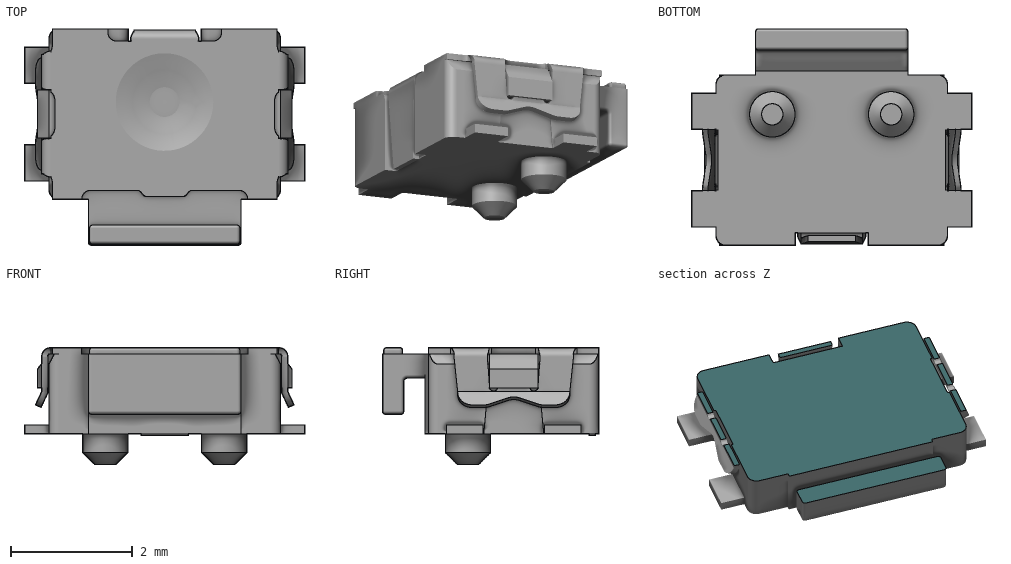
import cadquery as cq
import math

overall_length = 4.6
cover_top = 1.415
sheet = 0.1
body_top = cover_top - sheet

body_half_x = 1.9
body_half_y = 1.4
body_corner_radius = 0.16
body_chamfer_x = 0.09
body_chamfer_z = 0.17
step_front_y = -1.46
rear_recess_half_x = 0.6
rear_recess_radius = 0.145
side_recess_depth = 0.03
side_recess_half_bottom = 0.49
side_recess_half_top = 0.425

wedge_half_y = 0.395
wedge_tip_x = 2.09
wedge_bottom = 0.755
wedge_shoulder = 1.063

terminal_height = 0.145
terminal_inner_y = 0.5
terminal_width = 0.6
pin_x = 0.975
pin_y = -0.75
pin_radius = 0.373
pin_tip_radius = 0.175
pin_shank = 0.305
pin_length = 0.5

tongue_half_x = 1.25
tongue_front_y = -2.155
tongue_underside = 0.915
lip_back_y = -1.805
lip_bottom = 0.32
lip_inner_radius = 0.06
tongue_edge_radius = 0.05
rib_inset = 0.02

cover_half_x = 1.845
cover_half_y = body_half_y
dish_radius = 0.8
dish_floor_radius = 0.245
dish_depth = 0.095
dish_y = 0.195
front_notch_half_x = 1.36
front_notch_corner = 0.14
front_notch_radius = 0.145
front_notch_y = -1.25
front_tooth_y = -1.352
tooth_root_half_x = 0.455
tooth_tip_half_x = 0.295
rear_notch_half_x = 0.935
rear_notch_y = 1.195
rear_notch_radius = 0.145
side_notch_x = 1.805
side_notch_half_y = 0.4
side_notch_radius = 0.175

flap_outer_x = 2.02
flap_inner_x = flap_outer_x - sheet
bend_radius = 0.15
flap_bend_x = flap_outer_x - bend_radius
flap_half_root = 1.035
flap_half_bend = 0.98
flap_half_bottom = 0.92
flap_curve_start = 1.125
flap_curve_radius = 0.185
flap_bend_z = 0.695
window_half_bend = 0.432
window_relief_radius = 0.07
window_relief_z = 0.775
foot_angle = math.radians(25)
foot_length = 0.24
foot_wave_peak = 0.095
foot_corner_radius = 0.23
foot_slope = math.radians(20)
foot_valley_radius = 0.185
foot_peak_radius = 0.275

tab_outer_y = 1.38
tab_root_half = 0.56
tab_bend_half = 0.505
tab_end_half = 0.385
tab_end_z = -0.028
tab_lean = 0.04


def block(x0, x1, y0, y1, z0, z1):
    return cq.Workplane("XY").box(x1 - x0, y1 - y0, z1 - z0, centered=False).translate((x0, y0, z0))


def both_sides(shape):
    """The shape together with its mirror image across X = 0."""
    return shape.union(shape.mirror("YZ"))


def along_y(points, half_width):
    """Prism of an XZ outline, centred on Y = 0."""
    return cq.Workplane("XZ").polyline(points).close().extrude(half_width, both=True)


def make_body():
    body = block(-body_half_x, body_half_x, -body_half_y, body_half_y, 0, body_top)
    body = body.edges("|Z").fillet(body_corner_radius)

    edge_cut = along_y(
        [
            (-body_half_x, body_top),
            (-body_half_x + body_chamfer_x, body_top),
            (-body_half_x, body_top - body_chamfer_z),
        ],
        body_half_y,
    )
    side_recess = (
        cq.Workplane("YZ", origin=(-body_half_x, 0, 0))
        .moveTo(-side_recess_half_bottom, 0)
        .lineTo(side_recess_half_bottom, 0)
        .lineTo(side_recess_half_top, wedge_bottom)
        .lineTo(-side_recess_half_top, wedge_bottom)
        .close()
        .extrude(side_recess_depth)
    )
    body = body.cut(both_sides(edge_cut)).cut(both_sides(side_recess))

    rear_recess = block(
        -rear_recess_half_x, rear_recess_half_x, rear_notch_y, body_half_y, 0, body_top
    )
    body = body.cut(rear_recess)
    for side in (-1, 1):
        end_edge = cq.selectors.NearestToPointSelector(
            (side * rear_recess_half_x, (rear_notch_y + body_half_y) / 2, body_top)
        )
        body = body.edges(end_edge).fillet(rear_recess_radius)

    step = block(-tongue_half_x, tongue_half_x, step_front_y, 0, 0, body_top)
    return body.union(step)


def make_wedge():
    root_x = body_half_x - body_chamfer_x
    return along_y(
        [
            (-root_x, wedge_bottom),
            (-root_x, body_top),
            (-body_half_x, body_top),
            (-wedge_tip_x, wedge_shoulder),
            (-wedge_tip_x, wedge_bottom),
        ],
        wedge_half_y,
    )


def make_terminals():
    half = overall_length / 2
    outer_y = terminal_inner_y + terminal_width
    bar = block(-half, half, terminal_inner_y, outer_y, 0, terminal_height)
    return bar.union(bar.mirror("XZ"))


def make_pin():
    return (
        cq.Workplane("XZ")
        .polyline(
            [
                (0, 0),
                (pin_radius, 0),
                (pin_radius, -pin_shank),
                (pin_tip_radius, -pin_length),
                (0, -pin_length),
            ]
        )
        .close()
        .revolve(360, (0, 0, 0), (0, 1, 0))
        .translate((-pin_x, pin_y, 0))
    )


def make_tongue():
    arm = block(-tongue_half_x, tongue_half_x, tongue_front_y, step_front_y, lip_bottom, body_top)
    under = block(
        -tongue_half_x, tongue_half_x, lip_back_y, step_front_y, lip_bottom, tongue_underside
    )
    arm = arm.cut(under)
    inner_corner = cq.selectors.NearestToPointSelector((0, lip_back_y, tongue_underside))
    arm = arm.edges("|X").edges(inner_corner).fillet(lip_inner_radius)
    arm = arm.edges("not(>Z or >Y)").fillet(tongue_edge_radius)

    rib_half_x = tongue_half_x - rib_inset
    rib = block(
        -rib_half_x, rib_half_x, tongue_front_y + rib_inset, lip_back_y - rib_inset, body_top, cover_top
    )
    rib = rib.edges("|Z or >Z").fillet(tongue_edge_radius)
    return arm.union(rib)


def make_front_notch():
    left_half = (
        cq.Workplane("XY", origin=(0, 0, body_top))
        .moveTo(0, -cover_half_y)
        .lineTo(-front_notch_half_x, -cover_half_y)
        .radiusArc((-front_notch_half_x + front_notch_corner, front_notch_y), front_notch_radius)
        .lineTo(-tooth_root_half_x, front_notch_y)
        .spline([(-tooth_tip_half_x, front_tooth_y)], tangents=[(1, 0), (1, 0)], includeCurrent=True)
        .lineTo(0, front_tooth_y)
        .close()
        .extrude(sheet)
    )
    return both_sides(left_half)


def make_rear_notch():
    notch = block(-rear_notch_half_x, 0, rear_notch_y, cover_half_y, body_top, cover_top)
    return notch.edges("|Z and <X and <Y").fillet(rear_notch_radius)


def make_side_notch():
    half_y = side_notch_half_y
    notch = block(-flap_outer_x, -side_notch_x, -half_y, half_y, body_top, cover_top)
    return notch.edges("|Z and >X").fillet(side_notch_radius)


def make_corner_trim():
    """Narrows the plate from the flap bend line to its own side, with a curved transition."""
    return (
        cq.Workplane("XY", origin=(0, 0, body_top))
        .moveTo(flap_outer_x, flap_half_root)
        .lineTo(flap_bend_x, flap_half_root)
        .radiusArc((cover_half_x, flap_curve_start), flap_curve_radius)
        .lineTo(cover_half_x, cover_half_y)
        .lineTo(flap_outer_x, cover_half_y)
        .close()
        .extrude(sheet)
    )


def make_dish():
    """Spherical dish centred on its own axis, cut off by a flat floor."""
    sphere_height = (dish_depth**2 + dish_radius**2 - dish_floor_radius**2) / (2 * dish_depth)
    wall_radius = math.hypot(sphere_height, dish_floor_radius)
    return (
        cq.Workplane("XZ")
        .moveTo(0, cover_top)
        .lineTo(dish_radius, cover_top)
        .radiusArc((dish_floor_radius, cover_top - dish_depth), wall_radius)
        .lineTo(0, cover_top - dish_depth)
        .close()
        .revolve(360, (0, 0, 0), (0, 1, 0))
        .translate((0, dish_y, 0))
    )


def make_cover_plate():
    trims = make_corner_trim().union(make_corner_trim().mirror("XZ"))
    plate = block(-flap_bend_x, flap_bend_x, -cover_half_y, cover_half_y, body_top, cover_top)
    return (
        plate.cut(both_sides(trims))
        .cut(make_front_notch())
        .cut(both_sides(make_rear_notch()))
        .cut(both_sides(make_side_notch()))
        .cut(make_dish())
    )


def bent_strip(plane, root, outer, end_points, half_width):
    """Sheet leaving the cover plate at root, bent down at outer, closed by end_points at its foot."""
    bend_start = outer - bend_radius
    bend_end_z = cover_top - bend_radius
    inner_radius = bend_radius - sheet
    profile = (
        cq.Workplane(plane)
        .moveTo(root, cover_top)
        .lineTo(bend_start, cover_top)
        .radiusArc((outer, bend_end_z), bend_radius)
    )
    for point in end_points:
        profile = profile.lineTo(*point)
    return (
        profile.lineTo(outer - sheet, bend_end_z)
        .radiusArc((bend_start, body_top), -inner_radius)
        .lineTo(root, body_top)
        .close()
        .extrude(half_width, both=True)
    )


def tapered_outline(plane, root_half, bend_half, foot_half, foot_z, depth):
    """Front shape of a bent strip: tapered up to the bend, then flared along the bend."""
    bend_end_z = cover_top - bend_radius
    flare = root_half - bend_half
    arc_mid = math.sin(math.radians(45))
    mid_half = root_half - flare * arc_mid
    mid_z = bend_end_z + bend_radius * arc_mid
    return (
        cq.Workplane(plane)
        .moveTo(-foot_half, foot_z)
        .lineTo(-bend_half, bend_end_z)
        .threePointArc((-mid_half, mid_z), (-root_half, cover_top))
        .lineTo(root_half, cover_top)
        .threePointArc((mid_half, mid_z), (bend_half, bend_end_z))
        .lineTo(foot_half, foot_z)
        .close()
        .extrude(depth)
    )


def make_flap_upright():
    miter = sheet * math.tan(foot_angle / 2)
    foot_inner = (
        flap_outer_x - sheet * math.cos(foot_angle),
        flap_bend_z - sheet * math.sin(foot_angle),
    )
    foot = [(flap_outer_x, flap_bend_z), foot_inner, (flap_inner_x, flap_bend_z - miter)]
    strip = bent_strip("XZ", side_notch_x, flap_outer_x, foot, flap_half_root)
    outline = tapered_outline(
        "YZ", flap_half_root, flap_half_bend, flap_half_bottom, flap_bend_z, flap_outer_x
    )
    outline = outline.union(
        block(0, flap_outer_x, -flap_half_bottom, flap_half_bottom, 0, flap_bend_z)
    )
    window = (
        cq.Workplane("YZ", origin=(flap_bend_x, 0, 0))
        .polyline(
            [
                (-wedge_half_y, wedge_bottom),
                (-window_half_bend, cover_top - bend_radius),
                (-side_notch_half_y, cover_top),
                (side_notch_half_y, cover_top),
                (window_half_bend, cover_top - bend_radius),
                (wedge_half_y, wedge_bottom),
            ]
        )
        .close()
        .extrude(bend_radius)
    )
    relief_y = side_notch_half_y - window_relief_radius
    reliefs = (
        cq.Workplane("YZ")
        .pushPoints([(-relief_y, window_relief_z), (relief_y, window_relief_z)])
        .circle(window_relief_radius)
        .extrude(flap_outer_x)
    )
    notch = make_side_notch().mirror("YZ")
    return strip.intersect(outline).cut(window).cut(reliefs).cut(notch)


def make_flap_foot():
    """Flared foot of a flap, outlined on its own slanted plane with the bend line at local y = 0."""
    slanted = cq.Plane(
        origin=(flap_outer_x, 0, flap_bend_z),
        xDir=(0, 1, 0),
        normal=(math.cos(foot_angle), 0, math.sin(foot_angle)),
    )
    half = flap_half_bottom
    flat_end = half - foot_corner_radius
    corner_y = foot_corner_radius - foot_length

    arc_drop = 1 - math.cos(foot_slope)
    valley_run = foot_valley_radius * math.sin(foot_slope)
    valley_top = foot_valley_radius * arc_drop - foot_length
    peak_run = foot_peak_radius * math.sin(foot_slope)
    peak_foot = -foot_wave_peak - foot_peak_radius * arc_drop
    wave_half = valley_run + (peak_foot - valley_top) / math.tan(foot_slope) + peak_run
    return (
        cq.Workplane(slanted)
        .moveTo(-half, 0)
        .lineTo(-half, corner_y)
        .radiusArc((-flat_end, -foot_length), -foot_corner_radius)
        .lineTo(-wave_half, -foot_length)
        .radiusArc((-wave_half + valley_run, valley_top), -foot_valley_radius)
        .lineTo(-peak_run, peak_foot)
        .radiusArc((peak_run, peak_foot), foot_peak_radius)
        .lineTo(wave_half - valley_run, valley_top)
        .radiusArc((wave_half, -foot_length), -foot_valley_radius)
        .lineTo(flat_end, -foot_length)
        .radiusArc((half, corner_y), -foot_corner_radius)
        .lineTo(half, 0)
        .close()
        .extrude(-sheet)
    )


def make_rear_tab():
    foot = [
        (tab_outer_y - tab_lean, tab_end_z),
        (tab_outer_y - tab_lean - sheet, tab_end_z),
    ]
    strip = bent_strip("YZ", rear_notch_y, tab_outer_y, foot, tab_root_half)
    outline = tapered_outline(
        "XZ", tab_root_half, tab_bend_half, tab_end_half, tab_end_z, -tab_outer_y
    )
    return strip.intersect(outline)


wedges_and_pins = both_sides(make_wedge()).union(both_sides(make_pin()))
moulding = make_body().union(wedges_and_pins).union(make_terminals()).union(make_tongue())
flaps = both_sides(make_flap_upright().union(make_flap_foot()))
cover = make_cover_plate().union(flaps).union(make_rear_tab())
result = moulding.union(cover).clean()